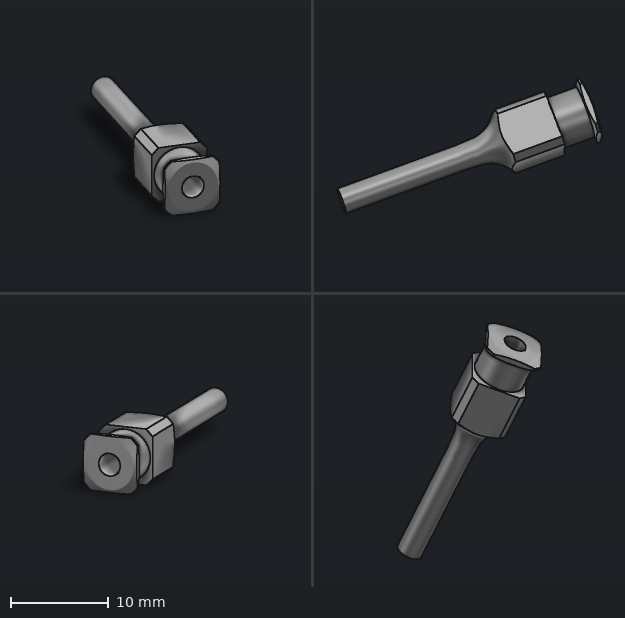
import cadquery as cq
import math

length = 27.5
across_flats = 6.0
corner_radius = 3.75

tube_diameter = 2.75
bore_diameter = 2.4
tube_end = 12.95
collar_end = 14.6
collar_end_radius = 1.45

flare_radius = 3.58
corner_chamfer = 0.72
grip_end = 23.32

neck_diameter = 5.5
flange_start = 26.68
flange_slope = 0.28
end_face_radius = 2.7

tube_radius = tube_diameter / 2
neck_radius = neck_diameter / 2


def revolve_about_x(profile):
    """Close an (X, radius) profile and spin it around the X axis."""
    return profile.close().revolve(360, (0, 0, 0), (1, 0, 0))


def square_bar(start, end):
    """Square bar along X between two X positions."""
    return cq.Workplane("YZ").workplane(offset=start).rect(across_flats, across_flats).extrude(end - start)


def flare_point(angle):
    """Point on the flare arc, measured by angle from its tangent start at the collar."""
    x = collar_end + flare_radius * math.sin(angle)
    radius = collar_end_radius + flare_radius * (1 - math.cos(angle))
    return x, radius


def make_front():
    """Tube, collar and flared grip: a turned shape trimmed by a chamfered square bar."""
    outer_radius = across_flats / math.sqrt(2)
    flare_angle = math.acos(1 - (outer_radius - collar_end_radius) / flare_radius)
    turned = revolve_about_x(
        cq.Workplane("XY")
        .lineTo(0, tube_radius)
        .lineTo(tube_end, tube_radius)
        .lineTo(collar_end, collar_end_radius)
        .threePointArc(flare_point(flare_angle / 2), flare_point(flare_angle))
        .lineTo(grip_end, outer_radius)
        .lineTo(grip_end, 0)
    )
    bar = square_bar(0, grip_end).edges("|X").chamfer(corner_chamfer)
    return turned.intersect(bar)


def make_flange():
    """Double-sloped disc trimmed to a square with rounded corners."""
    disc = revolve_about_x(
        cq.Workplane("XY")
        .moveTo(flange_start, 0)
        .lineTo(flange_start, neck_radius)
        .lineTo(flange_start + flange_slope, corner_radius)
        .lineTo(length - flange_slope, corner_radius)
        .lineTo(length, end_face_radius)
        .lineTo(length, 0)
    )
    return disc.intersect(square_bar(flange_start, length))


neck = cq.Workplane("YZ").workplane(offset=grip_end).circle(neck_radius).extrude(flange_start - grip_end)
bore = cq.Workplane("YZ").circle(bore_diameter / 2).extrude(length)

result = make_front().union(neck).union(make_flange()).cut(bore)